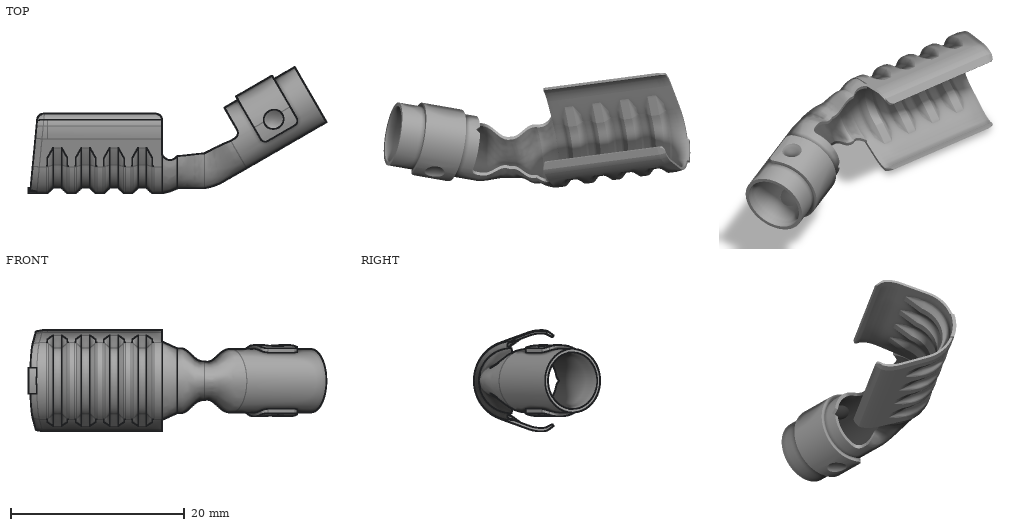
import cadquery as cq
import math

SHEET = 0.4

FLOOR_RADIUS = 4.72
WALL_LEAN = 20.0
WALL_LENGTH = 3.45
SHOULDER_RADIUS = 4.27
LIP_RADIUS = 2.5
LIP_BEVEL_ANGLE = 16.5
LIP_ANGLE = 37.6
EDGE_BEVEL = 0.15
CRADLE_END = 15.45
LIP_CORNER_RADIUS = 0.83

FRONT_START = 0.17
FRONT_SLOPE = 0.096
FRONT_BEVEL_LENGTH = 0.75
TAB_HALF_WIDTH = 1.5
TAB_LENGTH = 1.05

BEAD_COUNT = 4
BEAD_FIRST = 3.35
BEAD_PITCH = 3.27
BEAD_DEPTH = 0.65
BEAD_FLOOR_HALF_WIDTH = 0.48
BEAD_TOP_HALF_WIDTH = 1.17
BEAD_RAMP_LENGTH = 2.35
RIDGE_RAMP_LENGTH = 1.05
BEAD_ROUNDING = 0.35
ROUNDED_HEIGHT = 3.27

BARREL_TILT = 30.0
MOUTH_X = 32.6
MOUTH_Y = 11.45
BARREL_RADIUS = 3.7
BARREL_LENGTH = 10.68
BARREL_TOP_LENGTH = 9.4
BARREL_CORNER_RADIUS = 0.75
SEAM_NOTCH_DEPTH = 0.48

CLIP_THICKNESS = 0.45
CLIP_NEAR = 2.75
CLIP_FAR = 7.58
CLIP_LEG_RADIUS = 6.2
CLIP_LEG_LENGTH = 2.17
CLIP_CORNER_RADIUS = 0.62

DIMPLE_BACK = 5.13
DIMPLE_DROP = 0.38
DIMPLE_CENTRE_HEIGHT = 4.72
DIMPLE_RADIUS = 1.3

NECK_SECTIONS = [
    (CRADLE_END, 4.45, 0.0, 4.55, 4.45),
    (16.2, 3.9, 0.0, 4.2, 3.75),
    (17.22, 4.35, 0.0, 3.75, 3.75),
    (18.4, 4.45, 0.0, 3.4, 3.85),
    (19.25, 4.55, 0.0, 2.62, 3.95),
    (20.32, 4.65, 0.0, 2.27, 4.05),
    (21.2, 5.1, 10.0, 2.38, 4.1),
    (22.1, 5.55, 20.0, 3.15, 3.9),
]

NECK_CREASES = (2, 5)

tilt = math.radians(BARREL_TILT)
axis_x = math.cos(tilt)
axis_y = math.sin(tilt)
CROSS_PLANE = cq.Plane(origin=(MOUTH_X, MOUTH_Y, 0), xDir=(0, 0, -1), normal=(axis_x, axis_y, 0))
SIDE_PLANE = cq.Plane(origin=(MOUTH_X, MOUTH_Y, 0), xDir=(axis_x, axis_y, 0), normal=(0, 0, 1))

WIDE = 34.45


def polar(centre, radius, angle):
    """Point (y, z) at a radius from a centre, at an angle in degrees from +Z towards +Y."""
    turn = math.radians(angle)
    return (centre[0] + radius * math.sin(turn), centre[1] + radius * math.cos(turn))


def wall_points(inset, bead_depth, lip_inset):
    """Points of one wall from the floor to the lip, moved inward from the outer skin."""
    ramp = RIDGE_RAMP_LENGTH + (BEAD_RAMP_LENGTH - RIDGE_RAMP_LENGTH) * bead_depth / BEAD_DEPTH
    floor_centre = (FLOOR_RADIUS, 0.0)
    wall_foot = polar(floor_centre, FLOOR_RADIUS, -WALL_LEAN)
    wall_inner = polar(wall_foot, -inset, -WALL_LEAN)
    shoulder_start = polar(wall_foot, WALL_LENGTH, 90 - WALL_LEAN)
    shoulder_centre = polar(shoulder_start, -SHOULDER_RADIUS, -WALL_LEAN)
    peak = polar(shoulder_centre, SHOULDER_RADIUS, 0)
    lip_centre = polar(peak, -LIP_RADIUS, 0)
    return {
        "foot": polar(floor_centre, FLOOR_RADIUS - bead_depth - inset, -WALL_LEAN),
        "ramp": polar(wall_inner, ramp, 90 - WALL_LEAN),
        "shoulder": polar(wall_inner, WALL_LENGTH, 90 - WALL_LEAN),
        "shoulder_mid": polar(shoulder_centre, SHOULDER_RADIUS - inset, -WALL_LEAN / 2),
        "peak": polar(shoulder_centre, SHOULDER_RADIUS - inset, 0),
        "lip_mid": polar(lip_centre, LIP_RADIUS - inset, LIP_BEVEL_ANGLE / 2),
        "lip_bevel": polar(lip_centre, LIP_RADIUS - inset, LIP_BEVEL_ANGLE),
        "lip": polar(lip_centre, LIP_RADIUS - inset - lip_inset, LIP_ANGLE),
    }


def cradle_section(x, slope=0.0, bead_depth=0.0, bevel=0.0):
    """Closed outline of the cradle sheet in the plane X = x + slope * Y."""
    outer = wall_points(bevel, bead_depth, EDGE_BEVEL)
    inner = wall_points(SHEET, bead_depth, 0.0)

    def place(point, side=1):
        return cq.Vector(x + slope * point[0], point[0], side * point[1])

    def line(points, start, end, side):
        return cq.Edge.makeLine(place(points[start], side), place(points[end], side))

    def arc(points, start, middle, end, side):
        ends = [place(points[name], side) for name in (start, middle, end)]
        return cq.Edge.makeThreePointArc(*ends)

    edges = []
    for points, inset in ((outer, bevel), (inner, SHEET)):
        bottom = (bead_depth + inset, 0.0)
        right_foot = place(points["foot"])
        left_foot = place(points["foot"], -1)
        edges.append(cq.Edge.makeThreePointArc(left_foot, place(bottom), right_foot))
        for side in (1, -1):
            edges.append(line(points, "foot", "ramp", side))
            edges.append(line(points, "ramp", "shoulder", side))
            edges.append(arc(points, "shoulder", "shoulder_mid", "peak", side))
            edges.append(arc(points, "peak", "lip_mid", "lip_bevel", side))
            edges.append(line(points, "lip_bevel", "lip", side))
    for side in (1, -1):
        edges.append(cq.Edge.makeLine(place(outer["lip"], side), place(inner["lip"], side)))
    return cq.Wire.assembleEdges(edges)


def make_cradle():
    """Beaded sheet with a bevel along its slanted front; the bead creases are rounded on the floor."""
    sections = [
        cradle_section(FRONT_START, FRONT_SLOPE, bevel=EDGE_BEVEL),
        cradle_section(FRONT_START + FRONT_BEVEL_LENGTH, FRONT_SLOPE),
    ]
    for index in range(BEAD_COUNT):
        middle = BEAD_FIRST + index * BEAD_PITCH
        sections.append(cradle_section(middle - BEAD_TOP_HALF_WIDTH))
        sections.append(cradle_section(middle - BEAD_FLOOR_HALF_WIDTH, bead_depth=BEAD_DEPTH))
        sections.append(cradle_section(middle + BEAD_FLOOR_HALF_WIDTH, bead_depth=BEAD_DEPTH))
        sections.append(cradle_section(middle + BEAD_TOP_HALF_WIDTH))
    sections.append(cradle_section(CRADLE_END))
    cradle = cq.Workplane(cq.Solid.makeLoft(sections, True))
    creases = []
    for edge in cradle.edges().vals():
        box = edge.BoundingBox()
        ahead = box.xmin > BEAD_FIRST - BEAD_PITCH / 2
        if ahead and box.xmax < CRADLE_END - EDGE_BEVEL and box.xlen < 0.005 and box.ymax < ROUNDED_HEIGHT:
            creases.append(edge)
    return cradle.newObject(creases).fillet(BEAD_ROUNDING)


def make_tab():
    """Tab that carries the middle of the floor forward past the slanted edge."""
    radius = FLOOR_RADIUS
    ring = (
        cq.Workplane("YZ").center(radius, 0).circle(radius).circle(radius - SHEET).extrude(TAB_LENGTH)
    )
    strip = cq.Workplane("XY").box(WIDE, 2 * radius, 2 * TAB_HALF_WIDTH)
    return ring.intersect(strip)


def make_lip_outline():
    """Block with the cradle's side outline, which rounds the corners of the lips."""
    top = wall_points(0.0, 0.0, EDGE_BEVEL)["lip"][0]
    front = FRONT_START + FRONT_SLOPE * top
    return (
        cq.Workplane("XY")
        .polyline([(FRONT_START, 0), (CRADLE_END, 0), (CRADLE_END, top), (front, top)])
        .close()
        .extrude(WIDE / 2, both=True)
        .edges("|Z and >Y")
        .fillet(LIP_CORNER_RADIUS)
    )


def neck_section(x, y, lean, half_width, depth):
    """Half-elliptical channel outline; its open top is centred on (x, y)."""
    turn = math.radians(lean)
    along = cq.Vector(math.cos(turn), math.sin(turn), 0)
    centre = cq.Vector(x, y, 0)
    arcs = []
    rims = []
    for inset in (0.0, SHEET):
        across = half_width - inset
        deep = depth - inset
        arcs.append(cq.Edge.makeEllipse(across, deep, centre, along, cq.Vector(0, 0, 1), 0, 180, 1))
        rims.append((arcs[-1].startPoint(), arcs[-1].endPoint()))
    caps = [cq.Edge.makeLine(rims[0][side], rims[1][side]) for side in (0, 1)]
    return cq.Wire.assembleEdges([arcs[0], caps[1], arcs[1], caps[0]])


def make_neck():
    """Open channel from the cradle to the barrel, in smooth stretches that meet at creases."""
    barrel_section = (
        MOUTH_X - BARREL_LENGTH * axis_x,
        MOUTH_Y - BARREL_LENGTH * axis_y,
        BARREL_TILT,
        BARREL_RADIUS,
        BARREL_RADIUS,
    )
    sections = [neck_section(*values) for values in NECK_SECTIONS + [barrel_section]]
    stops = [0, *NECK_CREASES, len(NECK_SECTIONS)]
    neck = cq.Workplane("XY")
    for first, last in zip(stops, stops[1:]):
        neck = neck.add(cq.Solid.makeLoft(sections[first:last + 1], False))
    return neck.combine()


def barrel_cylinder(radius):
    return cq.Workplane(CROSS_PLANE).circle(radius).extrude(-BARREL_LENGTH)


def dimple_spheres(radius):
    """A sphere over each of the two dimples."""
    spheres = cq.Workplane(SIDE_PLANE)
    places = [(-DIMPLE_BACK, -DIMPLE_DROP, side * DIMPLE_CENTRE_HEIGHT) for side in (1, -1)]
    return spheres.pushPoints(places).sphere(radius, combine=False)


def cut_spheres(body, radius):
    for sphere in dimple_spheres(radius).vals():
        body = body.cut(cq.Workplane(sphere))
    return body


def add_bulges(body, radius, envelope):
    for sphere in dimple_spheres(radius).vals():
        body = body.union(envelope.intersect(cq.Workplane(sphere)))
    return body


def make_barrel():
    """Tube cut open above the neck, notched at its seam and dimpled from both sides."""
    solid = barrel_cylinder(BARREL_RADIUS)
    barrel = solid.cut(barrel_cylinder(BARREL_RADIUS - SHEET))
    back = 2 * BARREL_LENGTH
    opening = (
        cq.Workplane(SIDE_PLANE)
        .polyline([(-back, 0), (-BARREL_TOP_LENGTH, 0), (-BARREL_TOP_LENGTH, back), (-back, back)])
        .close()
        .extrude(WIDE / 2, both=True)
        .edges("|Z")
        .edges(cq.selectors.NearestToPointSelector(
            SIDE_PLANE.toWorldCoords((-BARREL_TOP_LENGTH, 0, 0)).toTuple()))
        .fillet(BARREL_CORNER_RADIUS)
    )
    barrel = barrel.cut(opening)
    notch_plane = cq.Plane(SIDE_PLANE.origin, xDir=SIDE_PLANE.xDir, normal=SIDE_PLANE.yDir)
    notch_back = -BARREL_TOP_LENGTH
    notch = (
        cq.Workplane(notch_plane)
        .polyline([
            (notch_back, -SEAM_NOTCH_DEPTH),
            (notch_back + SEAM_NOTCH_DEPTH, 0),
            (notch_back, SEAM_NOTCH_DEPTH),
        ])
        .close()
        .extrude(2 * BARREL_RADIUS)
    )
    barrel = barrel.cut(notch)
    barrel = add_bulges(barrel, DIMPLE_RADIUS + CLIP_THICKNESS + SHEET, solid)
    return cut_spheres(barrel, DIMPLE_RADIUS + CLIP_THICKNESS)


def clip_envelope(inset):
    """Solid inside the clip skin: a half round above the axis, gently closing legs below it."""
    radius = BARREL_RADIUS + CLIP_THICKNESS - inset
    leg_radius = CLIP_LEG_RADIUS - inset
    leg_centre = BARREL_RADIUS + CLIP_THICKNESS - CLIP_LEG_RADIUS

    def leg(drop):
        return leg_centre + math.sqrt(leg_radius ** 2 - drop ** 2)

    middle = CLIP_LEG_LENGTH / 2
    end = CLIP_LEG_LENGTH
    return (
        cq.Workplane(CROSS_PLANE)
        .workplane(offset=-CLIP_FAR)
        .moveTo(-radius, 0)
        .threePointArc((0, radius), (radius, 0))
        .threePointArc((leg(middle), -middle), (leg(end), -end))
        .lineTo(-leg(end), -end)
        .threePointArc((-leg(middle), -middle), (-radius, 0))
        .close()
        .extrude(CLIP_FAR - CLIP_NEAR)
    )


def make_clip():
    """Open spring clip with rounded leg corners and a dimple in each leg."""
    solid = clip_envelope(0.0)
    clip = solid.cut(clip_envelope(CLIP_THICKNESS))
    outline_top = 2 * BARREL_RADIUS
    outline = (
        cq.Workplane(SIDE_PLANE)
        .polyline([
            (-CLIP_FAR, -CLIP_LEG_LENGTH),
            (-CLIP_NEAR, -CLIP_LEG_LENGTH),
            (-CLIP_NEAR, outline_top),
            (-CLIP_FAR, outline_top),
        ])
        .close()
        .extrude(WIDE / 2, both=True)
        .edges("|Z")
        .edges(cq.selectors.BoxSelector((0, 0, -WIDE), (WIDE, MOUTH_Y - CLIP_LEG_LENGTH, WIDE)))
        .fillet(CLIP_CORNER_RADIUS)
    )
    clip = add_bulges(clip, DIMPLE_RADIUS + CLIP_THICKNESS, solid)
    clip = cut_spheres(clip, DIMPLE_RADIUS)
    return clip.intersect(outline)


cradle = make_cradle().intersect(make_lip_outline()).union(make_tab())
terminal = make_barrel().union(make_neck()).union(cradle)
clip = make_clip()

result = cq.Compound.makeCompound([terminal.val(), clip.val()])